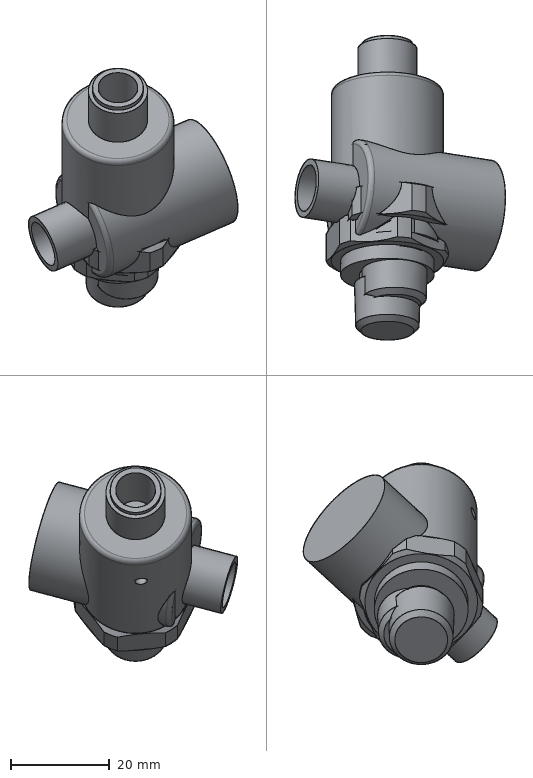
import cadquery as cq
import math

THREAD_TIP_D = 12.9
THREAD_TOP_D = 13.4
THREAD_TOP_Z = 10.0
THREAD_CHAMFER = 1.1
NECK_D = 11.4
NECK_BOTTOM_Z = 10.3
COLLAR_D = 19.0
COLLAR_BOTTOM_Z = 12.1
COLLAR_H = 3.0
HEX_H = 7.0
HEX_ACROSS_FLATS = 23.0
HEX_CORNER_D = 25.0
HEX_CHAMFER_IN = 1.1
HEX_CHAMFER_H = 0.6
HEX_BOTTOM_Z = COLLAR_BOTTOM_Z + COLLAR_H
HEX_TOP_Z = HEX_BOTTOM_Z + HEX_H

BARREL_D = 22.7
BARREL_L = 30.0
BARREL_ROUND = 1.0
SPIGOT_D = 12.0
SPIGOT_L = 9.0
BORE_D = 9.5
BORE_PAST_SPIGOT = 2.0
BORE_DEPTH = SPIGOT_L + BORE_PAST_SPIGOT
CAP_L = BARREL_L + SPIGOT_L
VENT_D = 2.5
VENT_DEPTH = 3.8
VENT_FROM_SHOULDER = 8.0
VENT_ANGLE = 22.5

INSERT_HEAD_D = 10.3
INSERT_HEAD_H = 1.0
INSERT_BORE_D = 8.0

UPRIGHT_HEX_TURN = -7.4
OFFSET_X = 2.68
OFFSET_Y = 0.4
OFFSET_Z = 5.0
CROSS_CAP_REAR_Y = 20.0
CROSS_CAP_Z = HEX_TOP_Z + OFFSET_Z


def make_fitting():
    """Turned stem below a hexagon with chamfered corners."""
    tip_r = THREAD_TIP_D / 2
    neck_r = NECK_D / 2
    stem = (
        cq.Workplane("XZ")
        .moveTo(0, 0)
        .lineTo(tip_r - THREAD_CHAMFER, 0)
        .lineTo(tip_r, THREAD_CHAMFER)
        .lineTo(THREAD_TOP_D / 2, THREAD_TOP_Z)
        .lineTo(neck_r, NECK_BOTTOM_Z)
        .lineTo(neck_r, COLLAR_BOTTOM_Z)
        .lineTo(COLLAR_D / 2, COLLAR_BOTTOM_Z)
        .lineTo(COLLAR_D / 2, HEX_BOTTOM_Z)
        .lineTo(0, HEX_BOTTOM_Z)
        .close()
        .revolve(360, (0, 0, 0), (0, 1, 0))
    )
    sharp_corner_d = HEX_ACROSS_FLATS / math.cos(math.radians(30))
    hexagon = cq.Workplane("XY").workplane(offset=HEX_BOTTOM_Z).polygon(6, sharp_corner_d).extrude(HEX_H)
    corner_r = HEX_CORNER_D / 2
    chamfered_r = corner_r - HEX_CHAMFER_IN
    turned_blank = (
        cq.Workplane("XZ")
        .moveTo(0, HEX_BOTTOM_Z)
        .lineTo(chamfered_r, HEX_BOTTOM_Z)
        .lineTo(corner_r, HEX_BOTTOM_Z + HEX_CHAMFER_H)
        .lineTo(corner_r, HEX_TOP_Z - HEX_CHAMFER_H)
        .lineTo(chamfered_r, HEX_TOP_Z)
        .lineTo(0, HEX_TOP_Z)
        .close()
        .revolve(360, (0, 0, 0), (0, 1, 0))
    )
    return stem.union(hexagon.intersect(turned_blank))


def make_barrel():
    """Barrel of the cap, bored from its rounded end, standing on its plain end."""
    barrel = cq.Workplane("XY").circle(BARREL_D / 2).extrude(BARREL_L).faces(">Z").edges().fillet(BARREL_ROUND)
    return barrel.cut(make_bore_core())


def make_bore_core():
    """Solid cylinder that fills the bore of the cap."""
    return cq.Workplane("XY").workplane(offset=CAP_L - BORE_DEPTH).circle(BORE_D / 2).extrude(BORE_DEPTH)


def make_cap():
    """Bored barrel with its spigot."""
    spigot = cq.Workplane("XY").workplane(offset=BARREL_L).circle(SPIGOT_D / 2).extrude(SPIGOT_L)
    return make_barrel().union(spigot.cut(make_bore_core()))


def make_vent():
    """Radial blind hole below the rounded shoulder of the cap."""
    return (
        cq.Workplane("YZ")
        .workplane(offset=-BARREL_D / 2)
        .center(0, BARREL_L - VENT_FROM_SHOULDER)
        .circle(VENT_D / 2)
        .extrude(VENT_DEPTH)
        .rotate((0, 0, 0), (0, 0, 1), VENT_ANGLE)
    )


def make_insert():
    """Plug with a head, bored through."""
    plug = make_bore_core()
    head = cq.Workplane("XY").workplane(offset=CAP_L).circle(INSERT_HEAD_D / 2).extrude(INSERT_HEAD_H)
    return plug.union(head).faces(">Z").workplane().hole(INSERT_BORE_D)


def lay_across(body):
    """Turn a body from upright to pointing along -Y and move it to the crossing position."""
    turned = body.rotate((0, 0, 0), (1, 0, 0), 90)
    return turned.translate((OFFSET_X, CROSS_CAP_REAR_Y, CROSS_CAP_Z))


def stand_on_hex(body):
    """Lift a body onto the hexagon of the upright fitting."""
    return body.translate((0, 0, HEX_TOP_Z))


offset_fitting = make_fitting().translate((OFFSET_X, OFFSET_Y, OFFSET_Z))
upright_cap = stand_on_hex(make_cap().cut(make_vent())).cut(lay_across(make_barrel())).cut(offset_fitting)
cross_cap = lay_across(make_cap()).cut(upright_cap).cut(offset_fitting)
upright_fitting = (
    make_fitting().rotate((0, 0, 0), (0, 0, 1), UPRIGHT_HEX_TURN).cut(offset_fitting).cut(cross_cap)
)
insert = stand_on_hex(make_insert())

result = cq.Compound.makeCompound(
    [
        upright_fitting.val(),
        offset_fitting.val(),
        upright_cap.val(),
        cross_cap.val(),
        insert.val(),
    ]
)